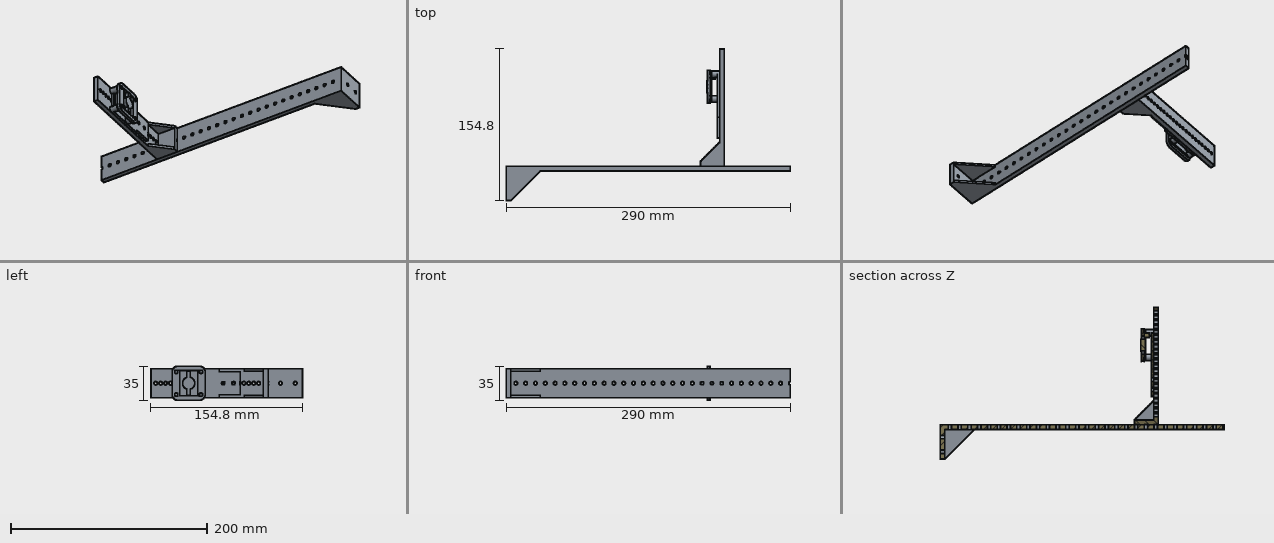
import cadquery as cq


bar_length = 290.0
bracket_height = 30.0
wall = 5.0
gusset_thickness = 3.0
bolt_hole_diameter = 3.2

long_foot_reach = 35.0
bar_hole_count = 29
bar_hole_pitch = bar_length / bar_hole_count
foot_hole_inset = 7.5
foot_hole_spacing = 15.0

arm_length = 119.8
arm_left_x = 217.8
short_foot_reach = 24.6
arm_hole_pitch = bar_hole_pitch / 2
arm_hole_count = 22

mount_thickness = 2.5
mount_near_y = 28.7
mount_step_y = 50.0
mount_tongue_height = 23.2
tongue_hole_y = 35.7
tongue_hole_spacing = 10.5
standoff_diameter = 6.7
standoff_length = 8.0
fixing_spacing_y = 25.2
fixing_spacing_z = bracket_height - standoff_diameter
fixing_hole_diameter = 3.5
sensor_y = 81.2

board_thickness = 1.5
board_height = 26.7
lens_diameter = 12.5
lens_rise = 3.8
rib_width = 3.5
rib_length = 24.5
connector_width = 5.0
connector_height = 14.5
connector_depth = 3.8

cover_thickness = 3.0
cover_width = 33.5
cover_height = 35.0
cover_corner_radius = 5.8
window_width = 18.3
window_height = 25.5

standoff_face_x = arm_left_x - standoff_length
board_face_x = standoff_face_x - board_thickness
arm_right_x = arm_left_x + wall
mount_far_y = sensor_y + fixing_spacing_y / 2
fixing_points = [
    (sensor_y + side_y * fixing_spacing_y / 2, side_z * fixing_spacing_z / 2)
    for side_y in (-1, 1)
    for side_z in (-1, 1)
]


def box(x_range, y_range, z_range):
    """Box between two limits along each axis."""
    lows, highs = zip(x_range, y_range, z_range)
    sizes = [high - low for low, high in zip(lows, highs)]
    return cq.Workplane("XY").box(*sizes, centered=False).translate(lows)


def centred(size):
    """Limits of a length centred on zero."""
    return (-size / 2, size / 2)


def x_cylinders(x, depth, points, diameter):
    """Cylinders along +X from x, at (y, z) points."""
    return cq.Workplane("YZ", origin=(x, 0, 0)).pushPoints(points).circle(diameter / 2).extrude(depth)


def gussets(outline):
    """A pair of plates flush with the top and bottom of a bracket."""
    lower = (
        cq.Workplane("XY", origin=(0, 0, -bracket_height / 2))
        .polyline(outline)
        .close()
        .extrude(gusset_thickness)
    )
    return lower.union(lower.mirror("XY"))


def make_long_bracket():
    """Bar along X with a gusseted foot reaching towards -Y at its left end."""
    z_range = centred(bracket_height)
    bar = box((0, bar_length), (-wall, 0), z_range)
    foot = box((0, wall), (-long_foot_reach, 0), z_range)
    outline = [
        (0, -wall / 2),
        (0, -long_foot_reach),
        (wall, -long_foot_reach),
        (long_foot_reach, -wall),
        (long_foot_reach, -wall / 2),
    ]
    bar_holes = (
        cq.Workplane("XZ")
        .pushPoints([(bar_hole_pitch * i, 0) for i in range(1, bar_hole_count + 1)])
        .circle(bolt_hole_diameter / 2)
        .extrude(wall)
    )
    outer_hole_y = foot_hole_inset - long_foot_reach
    foot_points = [(outer_hole_y, 0), (outer_hole_y + foot_hole_spacing, 0)]
    foot_holes = x_cylinders(0, wall, foot_points, bolt_hole_diameter)
    return bar.union(foot).union(gussets(outline)).cut(bar_holes).cut(foot_holes)


def make_short_bracket():
    """Arm along Y standing on the bar, with a gusseted foot reaching towards -X."""
    z_range = centred(bracket_height)
    foot_left_x = arm_right_x - short_foot_reach
    arm = box((arm_left_x, arm_right_x), (0, arm_length), z_range)
    foot = box((foot_left_x, arm_right_x), (0, wall), z_range)
    outline = [
        (arm_right_x, 0),
        (foot_left_x, 0),
        (foot_left_x, wall),
        (arm_left_x, short_foot_reach),
        (arm_right_x, short_foot_reach),
    ]
    points = [(arm_length - arm_hole_pitch * i, 0) for i in range(1, arm_hole_count + 1)]
    holes = x_cylinders(arm_left_x, wall, points, bolt_hole_diameter)
    return arm.union(foot).union(gussets(outline)).cut(holes)


def make_mount():
    """Stepped plate on the arm with four standoffs that carry the sensor."""
    x_range = (arm_left_x - mount_thickness, arm_left_x)
    plate = box(x_range, (mount_step_y, mount_far_y), centred(bracket_height))
    tongue = box(x_range, (mount_near_y, mount_step_y), centred(mount_tongue_height))
    standoffs = x_cylinders(standoff_face_x, standoff_length, fixing_points, standoff_diameter)
    points = [(tongue_hole_y, 0), (tongue_hole_y + tongue_hole_spacing, 0)]
    holes = x_cylinders(x_range[0], mount_thickness, points, bolt_hole_diameter)
    return plate.union(tongue).union(standoffs).cut(holes)


def make_board():
    """Sensor board with a round lens and rib in front and a connector behind."""
    y_range = (sensor_y - fixing_spacing_y / 2, mount_far_y)
    board = box((board_face_x, standoff_face_x), y_range, centred(board_height))
    lens = x_cylinders(board_face_x - lens_rise, lens_rise, [(sensor_y, 0)], lens_diameter)
    rib_y = (sensor_y - rib_width / 2, sensor_y + rib_width / 2)
    rib = box((board_face_x - lens_rise, board_face_x), rib_y, centred(rib_length))
    connector = box(
        (standoff_face_x, standoff_face_x + connector_depth),
        (mount_far_y - connector_width, mount_far_y),
        centred(connector_height),
    )
    notches = x_cylinders(board_face_x, board_thickness, fixing_points, fixing_hole_diameter)
    return board.cut(notches).union(lens).union(rib).union(connector)


def make_cover():
    """Rounded frame in front of the board, with a window around the lens."""
    face_x = board_face_x - cover_thickness
    y_range = (sensor_y - cover_width / 2, sensor_y + cover_width / 2)
    x_range = (face_x, board_face_x)
    plate = box(x_range, y_range, centred(cover_height)).edges("|X").fillet(cover_corner_radius)
    window_y = (sensor_y - window_width / 2, sensor_y + window_width / 2)
    window = box(x_range, window_y, centred(window_height))
    holes = x_cylinders(face_x, cover_thickness, fixing_points, fixing_hole_diameter)
    return plate.cut(window).cut(holes)


long_bracket = make_long_bracket()
short_bracket = make_short_bracket()
mount = make_mount()
board = make_board()
cover = make_cover()

result = cq.Compound.makeCompound(
    [long_bracket.val(), short_bracket.val(), mount.val(), board.val(), cover.val()]
)